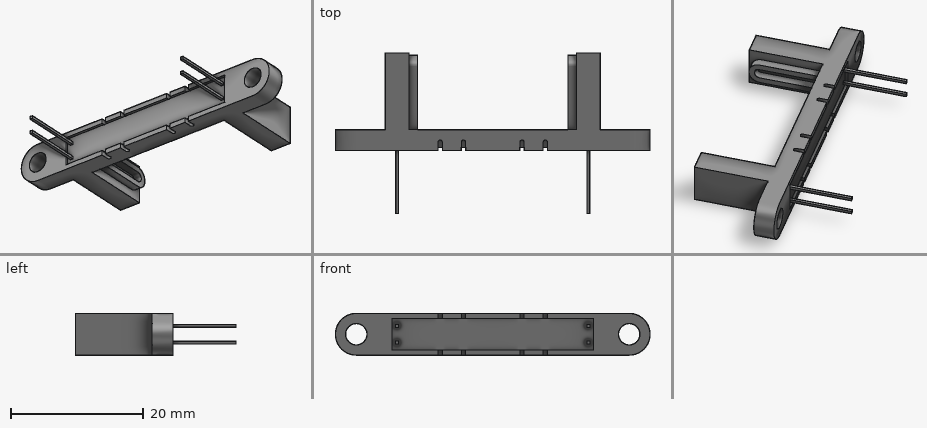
import cadquery as cq

base_length = 47.62
base_height = 6.35
base_thickness = 3.18
end_radius = base_height / 2
hole_diameter = 3.2
hole_offset = base_length / 2 - end_radius

overall_depth = 24.31
pin_reach = 9.525
arm_tip_y = overall_depth - pin_reach

arm_outer_x = 16.29
arm_width = 3.63
arm_inner_x = arm_outer_x - arm_width

frame_projection = 1.3
frame_radius = 1.7
frame_tip_gap = 0.32
slot_radius = 0.8
frame_center_y = arm_tip_y - frame_tip_gap - frame_radius

pocket_length = 30.5
pocket_height = 4.74
pocket_depth = 0.46
wall_thickness = (base_height - pocket_height) / 2

notch_offsets = (4.43, 7.95)
notch_width = 0.64
notch_depth = 1.6

pin_size = 0.46
pin_offset_x = 14.46
pin_offset_z = 1.27

SIDES = (-1, 1)


def box(x_range, y_range, z_range):
    """Box spanning the given (low, high) ranges."""
    size = [high - low for low, high in (x_range, y_range, z_range)]
    corner = (x_range[0], y_range[0], z_range[0])
    return cq.Workplane("XY").box(*size, centered=False).translate(corner)


def make_base():
    """Plate with full-round ends and a mounting hole at each end."""
    plate = cq.Workplane("XZ").slot2D(base_length, base_height).extrude(-base_thickness)
    holes = (
        cq.Workplane("XZ")
        .pushPoints([(side * hole_offset, 0) for side in SIDES])
        .circle(hole_diameter / 2)
        .extrude(-base_thickness)
    )
    return plate.cut(holes)


def make_tongue(radius):
    """Round-tipped tongue on the +X arm, from the plate along Y, projecting toward X = 0."""
    return (
        cq.Workplane("YZ", origin=(arm_inner_x - frame_projection, 0, 0))
        .moveTo(base_thickness, -radius)
        .lineTo(frame_center_y, -radius)
        .threePointArc((frame_center_y + radius, 0), (frame_center_y, radius))
        .lineTo(base_thickness, radius)
        .close()
        .extrude(frame_projection)
    )


def make_arm():
    """The +X arm with its slotted frame."""
    half_height = base_height / 2
    block = box((arm_inner_x, arm_outer_x), (base_thickness, arm_tip_y), (-half_height, half_height))
    return block.union(make_tongue(frame_radius).cut(make_tongue(slot_radius)))


def make_pocket():
    """Volume of the shallow pocket in the back face."""
    return box(
        (-pocket_length / 2, pocket_length / 2),
        (0, pocket_depth),
        (-pocket_height / 2, pocket_height / 2),
    )


def make_notch(x, side):
    """Volume of one notch at x, through the upper (side 1) or lower (side -1) wall."""
    radius = notch_width / 2
    straight_depth = notch_depth - radius
    profile = (
        cq.Workplane("XY")
        .moveTo(x - radius, 0)
        .lineTo(x - radius, straight_depth)
        .threePointArc((x, notch_depth), (x + radius, straight_depth))
        .lineTo(x + radius, 0)
        .close()
        .extrude(wall_thickness, both=True)
    )
    return profile.translate((0, 0, side * base_height / 2))


def make_pin(x, z):
    """Square pin from the pocket floor out to the pin tip."""
    half = pin_size / 2
    return box((x - half, x + half), (-pin_reach, pocket_depth), (z - half, z + half))


body = make_base()
arm = make_arm()
body = body.union(arm).union(arm.mirror("YZ"))
body = body.cut(make_pocket())

for notch_offset in notch_offsets:
    for x_side in SIDES:
        for z_side in SIDES:
            body = body.cut(make_notch(x_side * notch_offset, z_side))

for x_side in SIDES:
    for z_side in SIDES:
        body = body.union(make_pin(x_side * pin_offset_x, z_side * pin_offset_z))

result = body